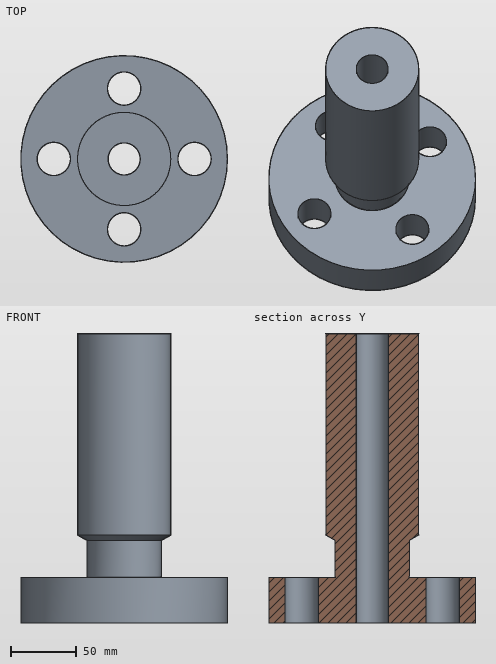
import cadquery as cq

total_height = 222.2

flange_diameter = 158.7
flange_thickness = 35.1
bolt_hole_diameter = 25.3
bolt_circle_diameter = 108.0
bolt_count = 4

barrel_diameter = 71.5
neck_diameter = 57.3
shoulder_bottom = 63.5
shoulder_top = 67.5
neck_foot_radius = 1.0
bore_diameter = 24.5


def make_body():
    """Revolve the flange, neck, shoulder and barrel about Z."""
    neck_radius = neck_diameter / 2
    barrel_radius = barrel_diameter / 2
    flange_radius = flange_diameter / 2
    profile = (
        cq.Workplane("XZ")
        .lineTo(flange_radius, 0)
        .lineTo(flange_radius, flange_thickness)
        .lineTo(neck_radius - neck_foot_radius, flange_thickness)
        .radiusArc((neck_radius, flange_thickness + neck_foot_radius), -neck_foot_radius)
        .lineTo(neck_radius, shoulder_bottom)
        .lineTo(barrel_radius, shoulder_top)
        .lineTo(barrel_radius, total_height)
        .lineTo(0, total_height)
        .close()
    )
    return profile.revolve(360, (0, 0, 0), (0, 1, 0))


def make_bore():
    """Axial bore through the whole part."""
    return cq.Workplane("XY").circle(bore_diameter / 2).extrude(total_height)


def make_bolt_holes():
    """Through holes on the bolt circle, on the X and Y axes."""
    return (
        cq.Workplane("XY")
        .polarArray(bolt_circle_diameter / 2, 0, 360, bolt_count)
        .circle(bolt_hole_diameter / 2)
        .extrude(flange_thickness)
    )


result = make_body().cut(make_bore()).cut(make_bolt_holes())